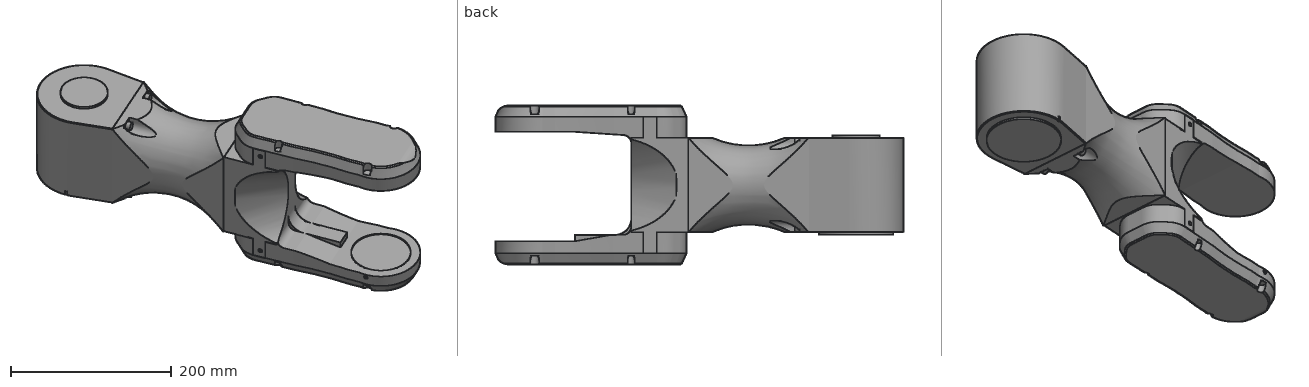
import cadquery as cq
import math

head_radius = 59.0
half_height = 59.0
head_edge_chamfer = 1.0
head_cap_radius = 29.5
head_base_radius = 46.5
head_disc_height = 3.0

neck_start = 59.0
neck_end = 209.0
neck_half_width = 51.0
neck_half_height = 58.75
neck_waist_radius = 49.3

yoke_face = 280.0
yoke_half_width = 49.5

arm_start = 211.0
arm_joint = 400.0
arm_half_width = 49.0
arm_corner_cut = 25.0
arm_corner_radius = 29.0
arm_waist_half_width = 46.5
arm_shoulder_half_width = 48.2
arm_waist_start = 302.0
arm_waist_end = 375.0
arm_tip_start = 390.0
arm_outer = 99.0
arm_root = 50.0
arm_chamfer_height = 14.0
arm_chamfer_inset = 6.5
arm_lip_chamfer = 1.5
nose_start = 431.0
nose_height = 13.0
nose_bulge = 4.0

ramp_end = 350.0
ramp_start = 304.0
upper_inner = 66.0
lower_inner = 70.0
ramp_start_height = 62.0
web_corner = 10.0

scoop_half_length = 86.0
scoop_half_height = 60.0
scoop_apex = 221.7
web_half_width = 11.0

bridge_end = 350.0
bridge_top = 62.0
bridge_fillet = 20.0

pad_start = 248.0
pad_end = 264.7

recess_radius = 37.0
recess_depth = 1.5

screw_pocket_offset = 43.5
screw_pocket_depth = 11.0
screw_pockets = ((280.0, 4.5), (arm_joint, 5.5))
side_hole_radius = 2.5
side_hole_depth = 3.0
side_hole_x = 258.0
side_hole_z = 75.0
rim_hole_z = -74.0

neck_pocket_start = 70.0
neck_pocket_length = 60.0
neck_pocket_radius = 9.2
neck_pocket_offset = 30.5
neck_pocket_height = 53.5
screw_head_radius = 5.0
screw_head_length = 6.5

notch_width = 3.0
notch_height = 6.0
notch_depth = 2.0

end_margin = 20.0
select_margin = 1.0


def box(x_range, y_range, z_range):
    size = [high - low for low, high in (x_range, y_range, z_range)]
    corner = (x_range[0], y_range[0], z_range[0])
    return cq.Workplane("XY").box(*size, centered=False).translate(corner)


def both_arms(upper):
    return upper.union(upper.mirror("XY"))


def make_head():
    corner_distance = math.hypot(neck_start, neck_half_width)
    tangent_angle = math.atan2(neck_half_width, neck_start) + math.acos(head_radius / corner_distance)
    tangent_x = head_radius * math.cos(tangent_angle)
    tangent_y = head_radius * math.sin(tangent_angle)
    head = (
        cq.Workplane("XY")
        .workplane(offset=-half_height)
        .moveTo(neck_start, -neck_half_width)
        .lineTo(neck_start, neck_half_width)
        .lineTo(tangent_x, tangent_y)
        .threePointArc((-head_radius, 0), (tangent_x, -tangent_y))
        .close()
        .extrude(2 * half_height)
    )
    rim = cq.selectors.BoxSelector(
        (-2 * head_radius, -2 * head_radius, -2 * half_height),
        (neck_start - select_margin, 2 * head_radius, 2 * half_height),
    )
    head = head.faces("|Z").edges(rim).chamfer(head_edge_chamfer)
    cap = cq.Workplane("XY").circle(head_cap_radius).extrude(half_height + head_disc_height)
    base = cq.Workplane("XY").circle(head_base_radius).extrude(-half_height - head_disc_height)
    notch = box(
        (-notch_width / 2, notch_width / 2),
        (-head_radius, -head_radius + notch_depth),
        (-half_height, -half_height + notch_height),
    )
    return head.union(cap).union(base).cut(notch)


def make_neck():
    end_radius = math.hypot(half_height, neck_half_width)
    waisted = (
        cq.Workplane("XZ")
        .moveTo(neck_start, 0)
        .lineTo(neck_start, end_radius)
        .threePointArc(((neck_start + neck_end) / 2, neck_waist_radius), (neck_end, end_radius))
        .lineTo(neck_end, 0)
        .close()
        .revolve(360, (0, 0, 0), (1, 0, 0))
    )
    bar = box(
        (neck_start, neck_end),
        (-neck_half_width, neck_half_width),
        (-neck_half_height, neck_half_height),
    )
    return bar.intersect(waisted)


def neck_rod(radius, length, y, z):
    plane = cq.Workplane("YZ").workplane(offset=neck_pocket_start)
    return plane.center(y, z).circle(radius).extrude(length)


def add_neck_pockets(body):
    for z in (-neck_pocket_height, neck_pocket_height):
        outside = math.copysign(half_height + end_margin, z)
        for y in (-neck_pocket_offset, neck_pocket_offset):
            opening = box(
                (neck_pocket_start, neck_pocket_start + neck_pocket_length),
                (y - neck_pocket_radius, y + neck_pocket_radius),
                (min(z, outside), max(z, outside)),
            )
            body = body.cut(neck_rod(neck_pocket_radius, neck_pocket_length, y, z)).cut(opening)
            body = body.union(neck_rod(screw_head_radius, screw_head_length, y, z))
    return body


def make_upper_arm():
    reach = arm_corner_radius * math.tan(math.pi / 8)
    slant = reach * math.sqrt(0.5)
    bulge = arm_corner_radius * (1 - math.cos(math.pi / 8))
    corner_x = arm_start + arm_corner_cut
    corner_y = arm_half_width - arm_corner_cut
    waist_middle = (arm_waist_start + arm_waist_end) / 2
    tip_half_width = math.sqrt(arm_half_width**2 - (arm_joint - arm_tip_start) ** 2)
    arm = (
        cq.Workplane("XY")
        .workplane(offset=arm_root)
        .moveTo(arm_start, reach - corner_y)
        .lineTo(arm_start, corner_y - reach)
        .sagittaArc((arm_start + slant, corner_y + slant), bulge)
        .lineTo(corner_x - slant, arm_half_width - slant)
        .sagittaArc((corner_x + reach, arm_half_width), bulge)
        .lineTo(arm_waist_start, arm_shoulder_half_width)
        .threePointArc((waist_middle, arm_waist_half_width), (arm_waist_end, arm_shoulder_half_width))
        .lineTo(arm_tip_start, tip_half_width)
        .threePointArc((arm_joint + arm_half_width, 0), (arm_tip_start, -tip_half_width))
        .lineTo(arm_waist_end, -arm_shoulder_half_width)
        .threePointArc((waist_middle, -arm_waist_half_width), (arm_waist_start, -arm_shoulder_half_width))
        .lineTo(corner_x + reach, -arm_half_width)
        .sagittaArc((corner_x - slant, slant - arm_half_width), bulge)
        .lineTo(arm_start + slant, -corner_y - slant)
        .sagittaArc((arm_start, reach - corner_y), bulge)
        .close()
        .extrude(arm_outer - arm_root)
    )
    arm = arm.faces(">Z").chamfer(arm_chamfer_height, arm_chamfer_inset)
    arm = arm.faces(">Z").chamfer(arm_lip_chamfer)
    return arm.cut(nose_cutter())


def nose_cutter():
    tip = arm_joint + arm_half_width
    low = arm_outer - nose_height
    return (
        cq.Workplane("XZ")
        .workplane(offset=-head_radius)
        .moveTo(nose_start, arm_outer)
        .sagittaArc((tip, low), nose_bulge)
        .lineTo(tip + end_margin, low)
        .lineTo(tip + end_margin, arm_outer + end_margin)
        .lineTo(nose_start, arm_outer + end_margin)
        .close()
        .extrude(2 * head_radius)
    )


def make_fork_gap():
    far = arm_joint + arm_half_width + end_margin
    corner_height = ramp_start_height - web_corner
    corner_x = yoke_face + web_corner
    mid_x = corner_x - web_corner * math.sqrt(0.5)
    mid_height = corner_height + web_corner * math.sqrt(0.5)
    return (
        cq.Workplane("XZ")
        .workplane(offset=-head_radius)
        .moveTo(yoke_face, -corner_height)
        .lineTo(yoke_face, corner_height)
        .threePointArc((mid_x, mid_height), (corner_x, ramp_start_height))
        .lineTo(ramp_end, upper_inner)
        .lineTo(far, upper_inner)
        .lineTo(far, -lower_inner)
        .lineTo(ramp_end, -lower_inner)
        .lineTo(ramp_start, -ramp_start_height)
        .lineTo(corner_x, -ramp_start_height)
        .threePointArc((mid_x, -mid_height), (yoke_face, -corner_height))
        .close()
        .extrude(2 * head_radius)
    )


def make_scoop():
    run_x = yoke_face - scoop_apex
    run_y = yoke_half_width - web_half_width
    run = math.hypot(run_x, run_y)
    axis = cq.Vector(run_x / run, run_y / run, 0)
    across = cq.Vector(axis.y, -axis.x, 0)
    start = cq.Vector(scoop_apex + scoop_half_length, -yoke_half_width, 0) - axis * run
    plane = cq.Plane(origin=start, xDir=across, normal=axis)
    return cq.Workplane(plane).ellipse(scoop_half_length * axis.y, scoop_half_height).extrude(3 * run)


def make_bridge():
    reach = bridge_fillet * (1 - math.sqrt(0.5))
    return (
        cq.Workplane("XZ")
        .workplane(offset=-web_half_width)
        .moveTo(yoke_face, -bridge_top + bridge_fillet)
        .threePointArc(
            (yoke_face + reach, -bridge_top + reach),
            (yoke_face + bridge_fillet, -bridge_top),
        )
        .lineTo(bridge_end, -bridge_top)
        .lineTo(bridge_end, -lower_inner - recess_depth)
        .lineTo(yoke_face, -lower_inner - recess_depth)
        .close()
        .extrude(2 * web_half_width)
    )


def make_fork():
    block = box(
        (neck_end, yoke_face),
        (-yoke_half_width, yoke_half_width),
        (-half_height, half_height),
    )
    pad_height = arm_outer - arm_chamfer_height
    pads = box(
        (pad_start, pad_end),
        (-yoke_half_width, yoke_half_width),
        (-pad_height, pad_height),
    )
    scoop = make_scoop()
    fork = block.union(pads).union(both_arms(make_upper_arm())).cut(make_fork_gap())
    fork = fork.cut(scoop).cut(scoop.mirror("XZ"))
    recess = (
        cq.Workplane("XY")
        .workplane(offset=-lower_inner)
        .center(arm_joint, 0)
        .circle(recess_radius)
        .extrude(-recess_depth)
    )
    return fork.cut(recess).union(make_bridge())


def cut_screw_pockets(body):
    for x, radius in screw_pockets:
        pockets = (
            cq.Workplane("XY")
            .workplane(offset=arm_outer - screw_pocket_depth)
            .pushPoints([(x, -screw_pocket_offset), (x, screw_pocket_offset)])
            .circle(radius)
            .extrude(screw_pocket_depth + end_margin)
        )
        body = body.cut(both_arms(pockets))
    return body


def cut_side_holes(body):
    centers = [(side_hole_x, side_hole_z), (side_hole_x, -side_hole_z), (arm_joint, rim_hole_z)]
    holes = (
        cq.Workplane("XZ")
        .workplane(offset=arm_half_width - side_hole_depth)
        .pushPoints(centers)
        .circle(side_hole_radius)
        .extrude(end_margin)
    )
    return body.cut(holes)


neck = add_neck_pockets(make_neck())
fork = cut_side_holes(cut_screw_pockets(make_fork()))
result = make_head().union(neck).union(fork)